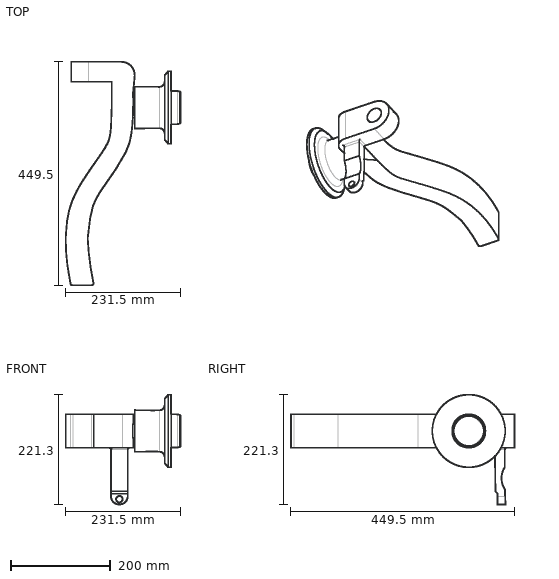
import cadquery as cq

lever_height = 68.0
half_height = lever_height / 2
lever_length = 449.5
lug_thickness = 40.5
lug_front_y = lever_length - lug_thickness
lug_tip_x = 11.0
lug_hole_diameter = 32.5
inner_corner_x = 91.5
outer_corner_x = 138.5
outer_corner_radius = 27.0
tip_corner_radius = 4.5
tip_left_x = 10.0
tip_right_x = 56.5

outer_corner_end_y = 420.2
outer_curve_start = (135.5, 386.5)
outer_bend_points = [(133.5, 319.0), (128.0, 287.5), (113.3, 255.5)]
outer_bend_direction = (-0.56, -0.83)
outer_sweep_points = [(92.5, 222.0), (70.0, 189.5), (55.0, 160.0), (49.0, 135.5), (44.0, 94.5)]
tip_curve_middle = (48.0, 49.5)
inner_curve_points = [
    (-0.5, 90.0),
    (11.5, 167.5),
    (41.5, 222.0),
    (71.5, 265.0),
    (85.0, 288.0),
    (90.5, 317.0),
    (91.5, 359.5),
    (inner_corner_x, lug_front_y),
]

axis_y = 357.5
neck_start_x = 121.5
neck_radius = 20.5
boss_start_x = 138.0
boss_radius = 42.2
boss_waist_radius = 42.0
flange_face_x = 198.0
flange_rim_x = 206.0
flange_back_x = 211.2
flange_radius = 73.3
flange_face_radius = 64.5
flange_fillet = 10.5
stub_radius = 33.5
stub_round_x = 223.5
stub_chamfer_x = 229.0
stub_end_x = 231.0
stub_shoulder_radius = 32.5
stub_end_radius = 30.0

arm_centre_x = 107.5
arm_width = 34.0
arm_back_y = 430.0
arm_front_y = lug_front_y + 0.5
arm_lean = 1.5
arm_bottom_z = -148.0
arm_hole_z = -137.0
arm_hole_diameter = 12.5
arm_root_fillet = 3.0
plate_side = 90.0
plate_thickness = 4.5
selection_margin = 0.22
scallop_top_z = -72.5
scallop_bottom_z = -117.5
scallop_depth = 6.7
step_top_z = -121.5
step_bottom_z = -126.0
step_front_y = 415.0


def make_lever():
    """Extrude the S-shaped outline and the square lug, then round the lug end."""
    outline = (
        cq.Workplane("XY", origin=(0, 0, -half_height))
        .moveTo(lug_tip_x, lever_length)
        .lineTo(outer_corner_x, lever_length)
        .lineTo(outer_corner_x, outer_corner_end_y)
        .lineTo(*outer_curve_start)
        .spline(outer_bend_points, tangents=[(0, -1), outer_bend_direction], includeCurrent=True)
        .spline(outer_sweep_points, includeCurrent=True)
        .threePointArc(tip_curve_middle, (tip_right_x, 0))
        .lineTo(tip_left_x, 0)
        .spline(inner_curve_points, includeCurrent=True)
        .lineTo(lug_tip_x, lug_front_y)
        .close()
    )
    lever = outline.extrude(lever_height)
    corner = cq.selectors.NearestToPointSelector((outer_corner_x, lever_length, 0))
    lever = lever.edges("|Z").edges(corner).fillet(outer_corner_radius)
    lever = lever.faces("<Y").edges("|Z").fillet(tip_corner_radius)
    lug_centre_x = lug_tip_x + half_height
    lug_end = (
        cq.Workplane("XZ", origin=(lug_centre_x, lever_length, 0))
        .circle(half_height)
        .extrude(lug_thickness)
    )
    square_end = cq.Workplane("XY").box(half_height, lug_thickness, lever_height)
    square_end = square_end.translate(
        (lug_tip_x + half_height / 2, lever_length - lug_thickness / 2, 0)
    )
    hole = (
        cq.Workplane("XZ", origin=(lug_centre_x, lever_length, 0))
        .circle(lug_hole_diameter / 2)
        .extrude(lug_thickness)
    )
    return lever.cut(square_end).union(lug_end).cut(hole)


def make_spindle():
    """Revolve the neck, boss, flange and end stub."""
    fillet_start_x = flange_face_x - flange_fillet
    return (
        cq.Workplane("XY", origin=(0, axis_y, 0))
        .moveTo(neck_start_x, 0)
        .lineTo(neck_start_x, neck_radius)
        .lineTo(boss_start_x, neck_radius)
        .lineTo(boss_start_x, boss_radius)
        .lineTo(fillet_start_x, boss_waist_radius)
        .radiusArc((flange_face_x, boss_waist_radius + flange_fillet), -flange_fillet)
        .lineTo(flange_face_x, flange_face_radius)
        .lineTo(flange_rim_x, flange_radius)
        .lineTo(flange_back_x, flange_radius)
        .lineTo(flange_back_x, stub_radius)
        .lineTo(stub_round_x, stub_radius)
        .lineTo(stub_chamfer_x, stub_shoulder_radius)
        .lineTo(stub_end_x, stub_end_radius)
        .lineTo(stub_end_x, 0)
        .close()
        .revolve(360, (0, 0, 0), (1, 0, 0))
    )


def make_arm():
    """Intersect the side profile with the round-ended front outline, and drill the tip."""
    scallop_mid_z = (scallop_top_z + scallop_bottom_z) / 2
    profile = (
        cq.Workplane("YZ", origin=(arm_centre_x - arm_width / 2, 0, 0))
        .moveTo(arm_front_y, -half_height)
        .lineTo(arm_front_y + arm_lean, step_top_z)
        .lineTo(step_front_y, step_bottom_z)
        .lineTo(step_front_y, arm_bottom_z)
        .lineTo(arm_back_y + arm_lean, arm_bottom_z)
        .lineTo(arm_back_y, scallop_bottom_z)
        .threePointArc((arm_back_y - scallop_depth, scallop_mid_z), (arm_back_y, scallop_top_z))
        .lineTo(arm_back_y, -half_height)
        .close()
        .extrude(arm_width)
    )
    tip_radius = arm_width / 2
    tip_centre_z = arm_bottom_z + tip_radius
    front = (
        cq.Workplane("XZ", origin=(arm_centre_x, lever_length, 0))
        .moveTo(-tip_radius, -half_height)
        .lineTo(-tip_radius, tip_centre_z)
        .threePointArc((0, arm_bottom_z), (tip_radius, tip_centre_z))
        .lineTo(tip_radius, -half_height)
        .close()
        .extrude(lug_thickness)
    )
    hole = (
        cq.Workplane("XZ", origin=(arm_centre_x, lever_length, arm_hole_z))
        .circle(arm_hole_diameter / 2)
        .extrude(lug_thickness)
    )
    return profile.intersect(front).cut(hole)


def flare_arm_root(arm):
    """Fillet the arm into a wide plate, then keep only what lies below the plate."""
    plate = cq.Workplane("XY", origin=(arm_centre_x, arm_back_y, -half_height))
    plate = plate.rect(plate_side, plate_side).extrude(plate_thickness)
    half_width = arm_width / 2 + selection_margin
    root_box = cq.selectors.BoxSelector(
        (
            arm_centre_x - half_width,
            arm_front_y - selection_margin,
            -half_height - selection_margin,
        ),
        (
            arm_centre_x + half_width,
            arm_back_y + selection_margin,
            -half_height + selection_margin,
        ),
        boundingbox=True,
    )
    return arm.union(plate).edges(root_box).fillet(arm_root_fillet).cut(plate)


def trim_to_footprint(arm):
    """Cut off any flare that would stand in front of the lug's inner face."""
    waste = cq.Workplane("XY").box(plate_side, plate_side, lever_height * 2)
    waste_centre = (inner_corner_x - plate_side / 2, lug_front_y - plate_side / 2, -half_height)
    waste = waste.translate(waste_centre)
    return arm.cut(waste)


arm = trim_to_footprint(flare_arm_root(make_arm()))
result = make_lever().union(arm).union(make_spindle())